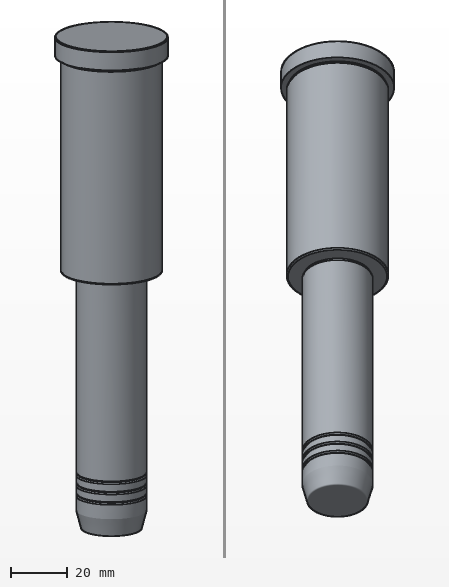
import cadquery as cq

height = 180.0
head_diameter = 40.0
body_diameter = 36.0
shank_diameter = 25.0

head_bottom = height - 7.0
body_bottom = height - 86.0
nose_top = 6.8

relief_depth = 0.5
head_relief_height = 0.5
shank_relief_height = 1.0

groove_count = 3
lowest_groove_level = 12.6
groove_pitch = 3.8
groove_width = 1.0
groove_depth = 0.5

head_chamfer = 0.4
body_chamfer = 0.5
nose_diameter = 21.5
tip_fillet = 0.5


def cylinder(diameter, bottom, top):
    """Upright cylinder between two levels on the Z axis."""
    return cq.Workplane("XY").workplane(offset=bottom).circle(diameter / 2).extrude(top - bottom)


def groove_cutter(level):
    """Ring of triangular section that cuts a V-groove into the shank at a level."""
    radius = shank_diameter / 2
    return (
        cq.Workplane("XZ")
        .moveTo(radius - groove_depth, level)
        .lineTo(radius + groove_depth, level + groove_width)
        .lineTo(radius + groove_depth, level - groove_width)
        .close()
        .revolve(360, (0, 0, 0), (0, 1, 0))
    )


head = cylinder(head_diameter, head_bottom, height).faces(">Z").edges().chamfer(head_chamfer)

body_top = head_bottom - head_relief_height
body = cylinder(body_diameter, body_bottom, body_top).edges("%CIRCLE").chamfer(body_chamfer)
head_relief = cylinder(body_diameter - 2 * relief_depth, body_top, head_bottom)

shank_top = body_bottom - shank_relief_height
shank = cylinder(shank_diameter, nose_top, shank_top)
shank_relief = cylinder(shank_diameter - 2 * relief_depth, shank_top, body_bottom)

nose = (
    cq.Workplane("XY")
    .circle(nose_diameter / 2)
    .workplane(offset=nose_top)
    .circle(shank_diameter / 2)
    .loft(ruled=True)
    .faces("<Z")
    .edges()
    .fillet(tip_fillet)
)

result = head.union(head_relief).union(body).union(shank_relief).union(shank).union(nose)

for index in range(groove_count):
    result = result.cut(groove_cutter(lowest_groove_level + index * groove_pitch))